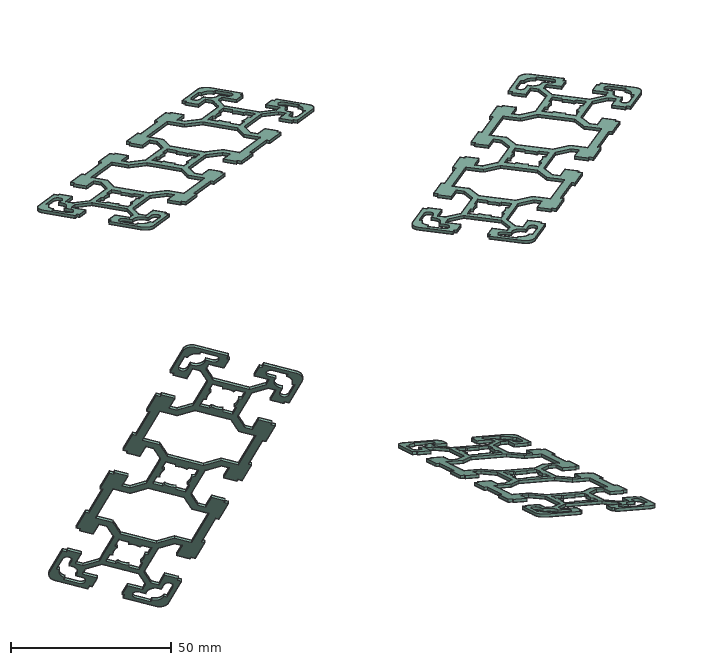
import cadquery as cq
import math

length = 120
cell_count = 3
pitch = length / cell_count
width = 40.0
half_cell = width / 2
thickness = 1.0
corner_radius = 3.0

slot_mouth_half = 5.9
slot_lip_half = 5.0
slot_step_depth = 1.5
slot_lip_depth = 6.0
slot_inner_half = 10.1
slot_floor = 7.5
slot_floor_half = 6.1

core_side = 11.0
core_bore_diameter = 10.0
core_pad_angle = 45

chamber_half_width = 16.1
chamber_half_height = 11.8
chamber_shoulder_half = 7.5
chamber_end_half = 6.0

recess_depth = 1.1
recess_length = 12

cavity_radius = 2.9
cavity_inset = 5.4
arm_width = 3.0
arm_inset = 3.0
arm_end = 12

cell_centres = [(i - (cell_count - 1) / 2) * pitch for i in range(cell_count)]
chamber_centres = [(a + b) / 2 for a, b in zip(cell_centres, cell_centres[1:])]


def t_slot(centre_y, angle):
    """T-slot of one cell, opening toward +X before it is turned by the angle."""
    step = half_cell - slot_step_depth
    lip = half_cell - slot_lip_depth
    slope_start = slot_floor + slot_inner_half - slot_floor_half
    upper_side = [
        (half_cell + slot_step_depth, slot_mouth_half),
        (step, slot_mouth_half),
        (step, slot_lip_half),
        (lip, slot_lip_half),
        (lip, slot_inner_half),
        (slope_start, slot_inner_half),
        (slot_floor, slot_floor_half),
    ]
    lower_side = [(x, -y) for x, y in reversed(upper_side)]
    slot = cq.Workplane("XY").polyline(upper_side + lower_side).close().extrude(thickness)
    return slot.rotate((0, 0, 0), (0, 0, 1), angle).translate((0, centre_y, 0))


def core_hole(centre_y):
    """Square hole with four pads: sectors with radial flanks, their faces lying on a round bore."""
    half_side = core_side / 2
    pad_half_width = half_side * math.tan(math.radians(core_pad_angle / 2))
    hole = cq.Workplane("XY").rect(core_side, core_side).extrude(thickness)
    sector_points = [(0, 0), (half_side, -pad_half_width), (half_side, pad_half_width)]
    pad = cq.Workplane("XY").polyline(sector_points).close().extrude(thickness)
    for angle in (0, 90, 180, 270):
        hole = hole.cut(pad.rotate((0, 0, 0), (0, 0, 1), angle))
    bore = cq.Workplane("XY").circle(core_bore_diameter / 2).extrude(thickness)
    return hole.union(bore).translate((0, centre_y, 0))


def chamber(centre_y):
    """Closed chamber with a tapered end toward each neighbouring cell."""
    shoulder_x = chamber_end_half + chamber_half_height - chamber_shoulder_half
    right_side = [
        (chamber_end_half, -chamber_half_height),
        (shoulder_x, -chamber_shoulder_half),
        (chamber_half_width, -chamber_shoulder_half),
        (chamber_half_width, chamber_shoulder_half),
        (shoulder_x, chamber_shoulder_half),
        (chamber_end_half, chamber_half_height),
    ]
    left_side = [(-x, y) for x, y in reversed(right_side)]
    outline = cq.Workplane("XY").polyline(right_side + left_side).close()
    return outline.extrude(thickness).translate((0, centre_y, 0))


def side_recesses(centre_y):
    """The pair of shallow recesses beside one chamber."""
    places = [(-width / 2, centre_y), (width / 2, centre_y)]
    return cq.Workplane("XY").pushPoints(places).rect(2 * recess_depth, recess_length).extrude(thickness)


def corner_cavity():
    """Cavity of the -X, -Y corner."""
    end_radius = arm_width / 2
    arm_near_wall = arm_inset - end_radius
    arm_far_wall = arm_inset + end_radius
    arm_straight_end = arm_end - end_radius
    arm = (
        cq.Workplane("XY")
        .moveTo(cavity_inset, arm_near_wall)
        .lineTo(arm_straight_end, arm_near_wall)
        .threePointArc((arm_end, arm_inset), (arm_straight_end, arm_far_wall))
        .lineTo(cavity_inset, arm_far_wall)
        .close()
        .extrude(thickness)
    )
    other_arm = arm.mirror("YZ").rotate((0, 0, 0), (0, 0, 1), -90)
    round_hole = cq.Workplane("XY").center(cavity_inset, cavity_inset).circle(cavity_radius).extrude(thickness)
    return round_hole.union(arm).union(other_arm).translate((-width / 2, -length / 2, 0))


plate = cq.Workplane("XY").rect(width, length).extrude(thickness).edges("|Z").fillet(corner_radius)

for y in cell_centres:
    plate = plate.cut(core_hole(y)).cut(t_slot(y, 0)).cut(t_slot(y, 180))

plate = plate.cut(t_slot(cell_centres[-1], 90)).cut(t_slot(cell_centres[0], -90))

for y in chamber_centres:
    plate = plate.cut(chamber(y)).cut(side_recesses(y))

lower_left = corner_cavity()
lower_right = lower_left.mirror("YZ")
for cavity in (lower_left, lower_right):
    plate = plate.cut(cavity).cut(cavity.mirror("XZ"))

result = plate